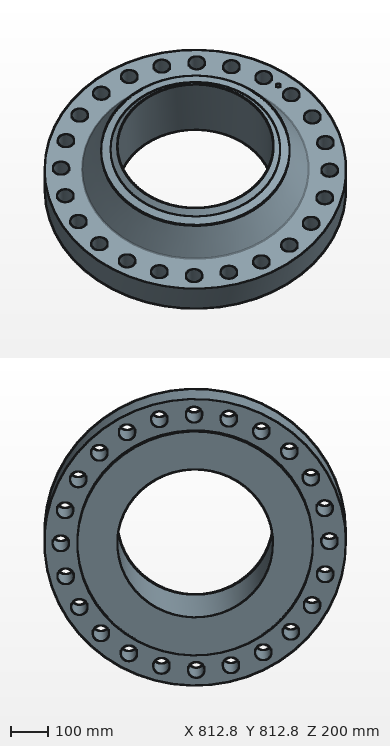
import math

import cadquery as cq

flange_diameter = 812.8
flange_thickness = 88.9
face_diameter = 635.0
face_height = 9.53

overall_height = 200.03
bore_diameter = 419.1
hub_base_diameter = 609.6
hub_fillet_radius = 3.0
neck_diameter = 508.0
neck_land_height = 4.5

root_face_width = 1.6
bevel_break_offset = 19.05
inner_bevel_angle = 37.5
outer_bevel_angle = 10.0

bolt_count = 24
bolt_circle_diameter = 723.9
bolt_hole_diameter = 44.45

small_hole_diameter = 12.7
small_hole_depth = 25.4
small_hole_angle = 90.0 + 180.0 / bolt_count

bore_radius = bore_diameter / 2
neck_radius = neck_diameter / 2
root_radius = bore_radius + root_face_width
bevel_break_radius = bore_radius + bevel_break_offset
flange_top = face_height + flange_thickness
bevel_break_height = overall_height - (bevel_break_radius - root_radius) * math.tan(
    math.radians(inner_bevel_angle)
)
land_top = bevel_break_height - (neck_radius - bevel_break_radius) * math.tan(
    math.radians(outer_bevel_angle)
)
land_bottom = land_top - neck_land_height


def make_body():
    """Revolve the flange, hub and bevelled neck about Z."""
    profile = (
        cq.Workplane("XZ")
        .moveTo(bore_radius, 0)
        .lineTo(face_diameter / 2, 0)
        .lineTo(face_diameter / 2, face_height)
        .lineTo(flange_diameter / 2, face_height)
        .lineTo(flange_diameter / 2, flange_top)
        .lineTo(hub_base_diameter / 2, flange_top)
        .lineTo(neck_radius, land_bottom)
        .lineTo(neck_radius, land_top)
        .lineTo(bevel_break_radius, bevel_break_height)
        .lineTo(root_radius, overall_height)
        .lineTo(bore_radius, overall_height)
        .close()
    )
    body = profile.revolve(360, (0, 0, 0), (0, 1, 0))
    flange_top_face = body.faces("+Z").faces("<Z")
    hub_base_edge = flange_top_face.edges(cq.selectors.RadiusNthSelector(0))
    return hub_base_edge.fillet(hub_fillet_radius)


def cut_bolt_holes(body):
    """Drill the bolt circle through the flange, with the first hole on +X."""
    holes = (
        cq.Workplane("XY")
        .polarArray(bolt_circle_diameter / 2, 0, 360, bolt_count)
        .circle(bolt_hole_diameter / 2)
        .extrude(flange_top)
    )
    return body.cut(holes)


def cut_small_hole(body):
    """Drill the blind hole into the flange top, on the bolt circle."""
    angle = math.radians(small_hole_angle)
    radius = bolt_circle_diameter / 2
    hole = (
        cq.Workplane("XY", origin=(0, 0, flange_top))
        .center(radius * math.cos(angle), radius * math.sin(angle))
        .circle(small_hole_diameter / 2)
        .extrude(-small_hole_depth)
    )
    return body.cut(hole)


result = cut_small_hole(cut_bolt_holes(make_body()))